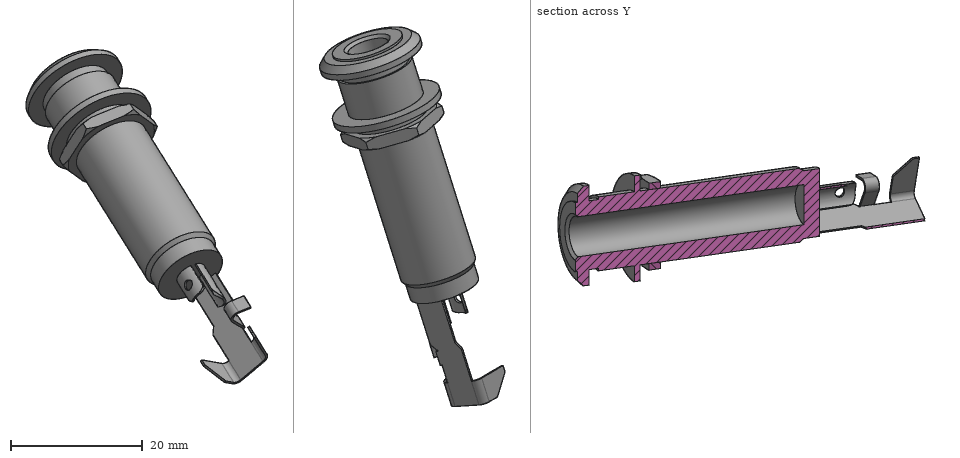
import cadquery as cq
import math


boss_diameter = 11.1
flange_front_x = 0.35
flange_rim_x = 1.4
flange_back_x = 2.35
flange_front_diameter = 13.9
flange_diameter = 16.0
neck_end_x = 3.95
barrel_diameter = 11.9
barrel_chamfer_x = 37.65
tail_start_x = 38.35
tail_diameter = 10.9
tail_end_x = 41.0

collar_x = 9.9
collar_thickness = 1.05
collar_diameter = 17.0

bore_diameter = 6.35
bore_mouth_diameter = 7.35
bore_mouth_depth = 0.45

nut_x = 12.4
nut_thickness = 2.0
nut_across_flats = 13.95
nut_face_diameter = 14.65
nut_chamfer_angle = 30.0

sheet_thickness = 0.35
terminal_root_depth = 0.6
terminal_root_x = tail_end_x - terminal_root_depth
lug_hole_diameter = 1.6

short_lug_radius = 2.35
short_lug_angles = (88.0, 187.0)
short_lug_end_x = 46.0
short_lug_hole_x = 43.6
short_lug_corner_radius = 1.35

long_lug_radius = 2.5
long_lug_angles = (-47.0, 69.0)
long_lug_end_x = 48.0
long_lug_hole_x = 45.4
long_lug_corner_radius = 1.9

strap_tilt = 33.0
strap_top = -4.15
strap_half_width = 2.35
jog_start_x = 48.15
jog_end_x = 49.25
strap_back_edge = 1.35
strap_front_edge = -3.15
strap_end_x = 58.65

hook_start_x = 49.4
hook_width = 2.35
hook_straight_height = 3.15
hook_bend_radius = 1.3
hook_lip_length = 2.1

wing_start_x = 54.65
wing_bend_radius = 1.0
wing_angle = 75.0
wing_tip_width = 1.05
wing_slant_drop = 2.8
back_wing_length = 6.05
front_wing_length = 4.6


def box(x_range, y_range, z_range):
    """A box between pairs of limits along X, Y and Z."""
    sizes = [high - low for low, high in (x_range, y_range, z_range)]
    corner = (x_range[0], y_range[0], z_range[0])
    return cq.Workplane("XY").box(*sizes, centered=False).translate(corner)


def curved_sheet(x_range, center, outer_radius, angles):
    """A sheet bent about an X-parallel line through center (y, z), between two angles."""
    inner_radius = outer_radius - sheet_thickness
    start, end = angles
    middle = (start + end) / 2

    def at(radius, angle):
        turn = math.radians(angle)
        return (center[0] + radius * math.cos(turn), center[1] + radius * math.sin(turn))

    return (
        cq.Workplane("YZ", origin=(x_range[0], 0, 0))
        .moveTo(*at(outer_radius, start))
        .threePointArc(at(outer_radius, middle), at(outer_radius, end))
        .lineTo(*at(inner_radius, end))
        .threePointArc(at(inner_radius, middle), at(inner_radius, start))
        .close()
        .extrude(x_range[1] - x_range[0])
    )


def turned_body():
    """Flange, neck, barrel, collar and tail, with the plug bore."""
    profile = [
        (0, 0),
        (0, boss_diameter / 2),
        (flange_front_x, boss_diameter / 2),
        (flange_front_x, flange_front_diameter / 2),
        (flange_rim_x, flange_diameter / 2),
        (flange_back_x, flange_diameter / 2),
        (flange_back_x, boss_diameter / 2),
        (neck_end_x, boss_diameter / 2),
        (neck_end_x, barrel_diameter / 2),
        (collar_x, barrel_diameter / 2),
        (collar_x, collar_diameter / 2),
        (collar_x + collar_thickness, collar_diameter / 2),
        (collar_x + collar_thickness, barrel_diameter / 2),
        (barrel_chamfer_x, barrel_diameter / 2),
        (tail_start_x, tail_diameter / 2),
        (tail_end_x, tail_diameter / 2),
        (tail_end_x, 0),
    ]
    bore_profile = [
        (0, 0),
        (0, bore_mouth_diameter / 2),
        (bore_mouth_depth, bore_diameter / 2),
        (tail_start_x, bore_diameter / 2),
        (tail_start_x, 0),
    ]
    outside = cq.Workplane("XY").polyline(profile).close().revolve(360, (0, 0, 0), (1, 0, 0))
    bore = cq.Workplane("XY").polyline(bore_profile).close().revolve(360, (0, 0, 0), (1, 0, 0))
    return outside.cut(bore)


def solder_lug(radius, angles, end_x, hole_x, corner_radius):
    """A curved lug with two rounded corners and a hole at the middle of its arc.

    The corner radius is that of the sheet before bending, so a corner cut straight
    through the curved lug is an ellipse with a shortened height.
    """
    middle = (angles[0] + angles[1]) / 2
    half_spread = math.radians((angles[1] - angles[0]) / 2)
    half_width = radius * math.sin(half_spread)
    flat_half_width = radius * math.sin(half_spread - corner_radius / radius)
    corner_height = half_width - flat_half_width
    half_angles = (-math.degrees(half_spread), math.degrees(half_spread))
    sheet = curved_sheet((terminal_root_x, end_x), (0, 0), radius, half_angles)
    outline = (
        cq.Workplane("XZ")
        .moveTo(terminal_root_x, -half_width)
        .lineTo(end_x - corner_radius, -half_width)
        .ellipseArc(corner_radius, corner_height, 270, 360, startAtCurrent=True)
        .lineTo(end_x, flat_half_width)
        .ellipseArc(corner_radius, corner_height, 0, 90, startAtCurrent=True)
        .lineTo(terminal_root_x, half_width)
        .close()
        .extrude(-radius)
    )
    hole = (
        cq.Workplane("XZ").center(hole_x, 0).circle(lug_hole_diameter / 2).extrude(-radius)
    )
    return sheet.intersect(outline).cut(hole).rotate((0, 0, 0), (1, 0, 0), middle)


def strap():
    """The flat strip, which jogs sideways behind the tail."""
    outline = [
        (terminal_root_x, -strap_half_width),
        (jog_start_x, -strap_half_width),
        (jog_end_x, strap_front_edge),
        (strap_end_x, strap_front_edge),
        (strap_end_x, strap_back_edge),
        (jog_end_x, strap_back_edge),
        (jog_start_x, strap_half_width),
        (terminal_root_x, strap_half_width),
    ]
    return (
        cq.Workplane("XY", origin=(0, 0, strap_top))
        .polyline(outline)
        .close()
        .extrude(-sheet_thickness)
    )


def hook():
    """The hook: a straight rise, a curl and a lip that ends up horizontal after the tilt."""
    x_range = (hook_start_x, hook_start_x + hook_width)
    curl_z = strap_top + hook_straight_height
    curl_y = strap_back_edge + hook_bend_radius
    outer_face = (strap_back_edge, strap_back_edge + sheet_thickness)
    rise = box(x_range, outer_face, (strap_top - sheet_thickness, curl_z))
    lip_angle = 90 - strap_tilt
    curl = curved_sheet(x_range, (curl_y, curl_z), hook_bend_radius, (lip_angle, 180))
    lip = (
        box(x_range, (0, hook_lip_length), (hook_bend_radius - sheet_thickness, hook_bend_radius))
        .rotate((0, 0, 0), (1, 0, 0), -strap_tilt)
        .translate((0, curl_y, curl_z))
    )
    return rise.union(curl).union(lip)


def crimp_wing(length, tip_at_end):
    """A crimp wing bent up from the line y = 0 toward +Y, with one slanted corner."""
    bend_center = (0, strap_top + wing_bend_radius)
    outer_radius = wing_bend_radius + sheet_thickness
    x_range = (wing_start_x, strap_end_x)
    bend = curved_sheet(x_range, bend_center, outer_radius, (-90, wing_angle - 90))
    if tip_at_end:
        tall_x, tip_x, low_x = strap_end_x, strap_end_x - wing_tip_width, wing_start_x
    else:
        tall_x, tip_x, low_x = wing_start_x, wing_start_x + wing_tip_width, strap_end_x
    blade = (
        cq.Workplane("XY", origin=(0, 0, strap_top))
        .polyline([
            (tall_x, 0),
            (tall_x, length),
            (tip_x, length),
            (low_x, length - wing_slant_drop),
            (low_x, 0),
        ])
        .close()
        .extrude(-sheet_thickness)
        .rotate((0, *bend_center), (1, *bend_center), wing_angle)
    )
    return bend.union(blade)


def crimp_terminal():
    """Strap, hook and both crimp wings, tilted about X."""
    far_wing = crimp_wing(back_wing_length, True).translate((0, strap_back_edge, 0))
    near_wing = crimp_wing(front_wing_length, False).mirror("XZ").translate((0, strap_front_edge, 0))
    level = strap().union(hook()).union(far_wing).union(near_wing)
    return level.rotate((0, 0, 0), (1, 0, 0), strap_tilt)


def make_jack():
    """The turned body with its collar and three terminals."""
    short_lug = solder_lug(
        short_lug_radius, short_lug_angles, short_lug_end_x, short_lug_hole_x, short_lug_corner_radius
    )
    long_lug = solder_lug(
        long_lug_radius, long_lug_angles, long_lug_end_x, long_lug_hole_x, long_lug_corner_radius
    )
    return turned_body().union(short_lug).union(long_lug).union(crimp_terminal())


def make_nut():
    """A hexagonal nut with two flats facing up and down and both faces chamfered."""
    corner_radius = nut_across_flats / 2 / math.cos(math.radians(30))
    face_radius = nut_face_diameter / 2
    chamfer_depth = (corner_radius - face_radius) * math.tan(math.radians(nut_chamfer_angle))
    back_x = nut_x + nut_thickness
    hexagon = (
        cq.Workplane("YZ", origin=(nut_x, 0, 0))
        .polygon(6, 2 * corner_radius)
        .circle(barrel_diameter / 2)
        .extrude(nut_thickness)
    )
    chamfer_envelope = (
        cq.Workplane("XY")
        .polyline([
            (nut_x, 0),
            (nut_x, face_radius),
            (nut_x + chamfer_depth, corner_radius),
            (back_x - chamfer_depth, corner_radius),
            (back_x, face_radius),
            (back_x, 0),
        ])
        .close()
        .revolve(360, (0, 0, 0), (1, 0, 0))
    )
    return hexagon.intersect(chamfer_envelope)


jack = make_jack()
nut = make_nut()

result = cq.Compound.makeCompound([jack.val(), nut.val()])